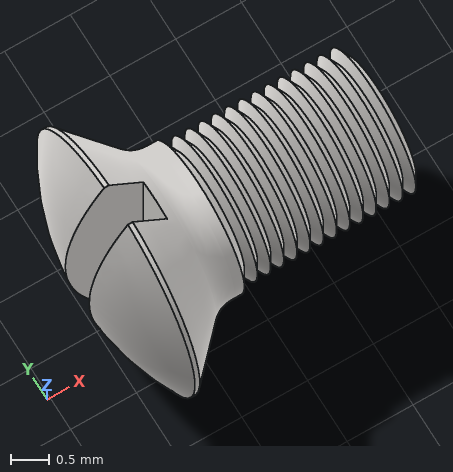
import cadquery as cq
import math

screw_length = 4.59

head_diameter = 4.0
rim_width = 0.075
slot_width = 0.6
slot_floor = 1.185
cone_angle = math.radians(46)
dome_radius = 3.625

collar_radius = 1.148
collar_end = 1.85
neck_fillet = 0.5

crest_radius = 1.09
root_radius = 0.923
thread_start = 1.985
ring_count = 13

head_radius = head_diameter / 2

dome_center = math.sqrt(dome_radius**2 - (slot_width / 2) ** 2)
apex = dome_center - dome_radius
rim_start = dome_center - math.sqrt(dome_radius**2 - head_radius**2)
dome_mid_radius = head_radius / 2
dome_mid = dome_center - math.sqrt(dome_radius**2 - dome_mid_radius**2)

rim_end = rim_start + rim_width
fillet_start_radius = collar_radius + neck_fillet * (1 - math.cos(cone_angle))
fillet_start = rim_end + (head_radius - fillet_start_radius) / math.tan(cone_angle)
fillet_end = fillet_start + neck_fillet * math.sin(cone_angle)
half_angle = cone_angle / 2
fillet_mid = fillet_end - neck_fillet * math.sin(half_angle)
fillet_mid_radius = collar_radius + neck_fillet * (1 - math.cos(half_angle))

thread_pitch = (screw_length - thread_start) / ring_count


def make_body():
    """Revolve the half profile of head, neck and thread about the X axis."""
    profile = (
        cq.Workplane("XY")
        .moveTo(apex, 0)
        .threePointArc((dome_mid, dome_mid_radius), (rim_start, head_radius))
        .lineTo(rim_end, head_radius)
        .lineTo(fillet_start, fillet_start_radius)
        .threePointArc((fillet_mid, fillet_mid_radius), (fillet_end, collar_radius))
        .lineTo(collar_end, collar_radius)
        .lineTo(thread_start, root_radius)
    )
    for ring in range(ring_count):
        ring_start = thread_start + ring * thread_pitch
        profile = profile.lineTo(ring_start + thread_pitch / 2, crest_radius)
        profile = profile.lineTo(ring_start + thread_pitch, root_radius)
    return profile.lineTo(screw_length, 0).close().revolve(360, (0, 0, 0), (1, 0, 0))


def make_slot():
    """Driver slot running along Z, open through the dome and rim."""
    slot_depth = slot_floor - apex
    slot_length = head_diameter
    return (
        cq.Workplane("XY")
        .box(slot_depth, slot_width, slot_length, centered=(False, True, True))
        .translate((apex, 0, 0))
    )


result = make_body().cut(make_slot())